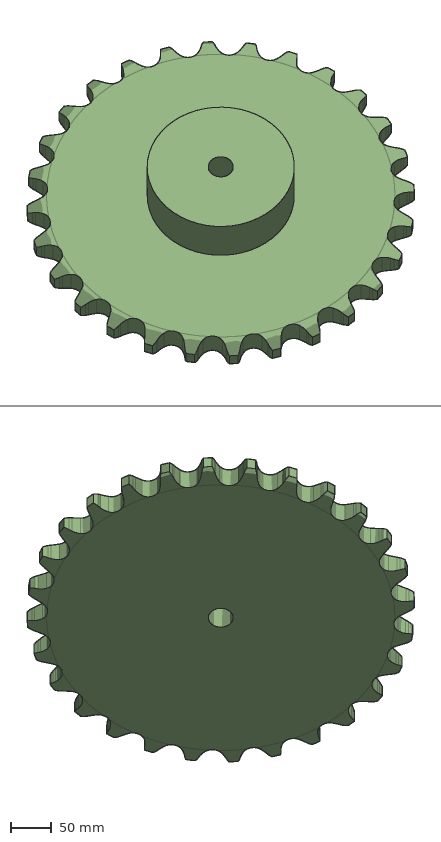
import cadquery as cq
import math

tooth_count = 28
tip_radius = 237.0
root_radius = 212.0
total_height = 90.0
plate_thickness = total_height / 3
rim_tip_thickness = 17.0
bevel_start_radius = 213.0

hub_diameter = 180.0
bore_diameter = 30.0

seat_radius = 14.5
hollow_radius = 38.0
tip_round_radius = 23.5
straight_length = 4.0
tip_round_turn = 18
seat_end_slope = 90 - (35 + 60 / tooth_count)
hollow_end_slope = seat_end_slope + (18 - 56 / tooth_count)
tip_end_slope = hollow_end_slope - tip_round_turn

cutter_clearance = 9.5
cutter_radius = tip_radius + cutter_clearance
bevel_drop = (plate_thickness - rim_tip_thickness) / 2


def point_on_arc(start, radius, start_slope, end_slope):
    """Point reached from start along an arc that turns between two slopes in degrees.

    A positive radius makes the gap outline hollow, a negative one makes it convex.
    """
    first = math.radians(start_slope)
    last = math.radians(end_slope)
    return (
        start[0] + radius * (math.sin(last) - math.sin(first)),
        start[1] + radius * (math.cos(first) - math.cos(last)),
    )


def mirrored(point):
    return (-point[0], point[1])


def make_tooth_gap():
    """Cutter for the gap centred on +Y, open beyond the tooth tips."""
    root = (0, root_radius)
    seat_end = point_on_arc(root, seat_radius, 0, seat_end_slope)
    hollow_mid_slope = (seat_end_slope + hollow_end_slope) / 2
    hollow_mid = point_on_arc(seat_end, hollow_radius, seat_end_slope, hollow_mid_slope)
    hollow_end = point_on_arc(seat_end, hollow_radius, seat_end_slope, hollow_end_slope)
    end_angle = math.radians(hollow_end_slope)
    straight_end = (
        hollow_end[0] + straight_length * math.cos(end_angle),
        hollow_end[1] + straight_length * math.sin(end_angle),
    )
    tip_mid_slope = (hollow_end_slope + tip_end_slope) / 2
    tip_mid = point_on_arc(straight_end, -tip_round_radius, hollow_end_slope, tip_mid_slope)
    tip_end = point_on_arc(straight_end, -tip_round_radius, hollow_end_slope, tip_end_slope)
    outer = (tip_end[0], cutter_radius)

    return (
        cq.Workplane("XY")
        .moveTo(*mirrored(seat_end))
        .threePointArc(root, seat_end)
        .threePointArc(hollow_mid, hollow_end)
        .lineTo(*straight_end)
        .threePointArc(tip_mid, tip_end)
        .lineTo(*outer)
        .lineTo(*mirrored(outer))
        .lineTo(*mirrored(tip_end))
        .threePointArc(mirrored(tip_mid), mirrored(straight_end))
        .lineTo(*mirrored(hollow_end))
        .threePointArc(mirrored(hollow_mid), mirrored(seat_end))
        .close()
        .extrude(plate_thickness)
    )


def make_blank():
    """Round plate whose rim curves in to a narrower edge on both faces."""
    bevel_width = tip_radius - bevel_start_radius
    curve_radius = (bevel_width**2 + bevel_drop**2) / (2 * bevel_drop)
    mid_radius = bevel_start_radius + bevel_width / 2
    mid_drop = curve_radius - math.sqrt(curve_radius**2 - (bevel_width / 2) ** 2)
    return (
        cq.Workplane("XZ")
        .lineTo(bevel_start_radius, 0)
        .threePointArc((mid_radius, mid_drop), (tip_radius, bevel_drop))
        .lineTo(tip_radius, plate_thickness - bevel_drop)
        .threePointArc((mid_radius, plate_thickness - mid_drop), (bevel_start_radius, plate_thickness))
        .lineTo(0, plate_thickness)
        .close()
        .revolve(360, (0, 0), (0, 1))
    )


wheel = make_blank()
tooth_gap = make_tooth_gap()
for tooth in range(tooth_count):
    wheel = wheel.cut(tooth_gap.rotate((0, 0, 0), (0, 0, 1), tooth * 360 / tooth_count))

hub = cq.Workplane("XY").circle(hub_diameter / 2).extrude(total_height)
bore = cq.Workplane("XY").circle(bore_diameter / 2).extrude(total_height)

result = wheel.union(hub).cut(bore)